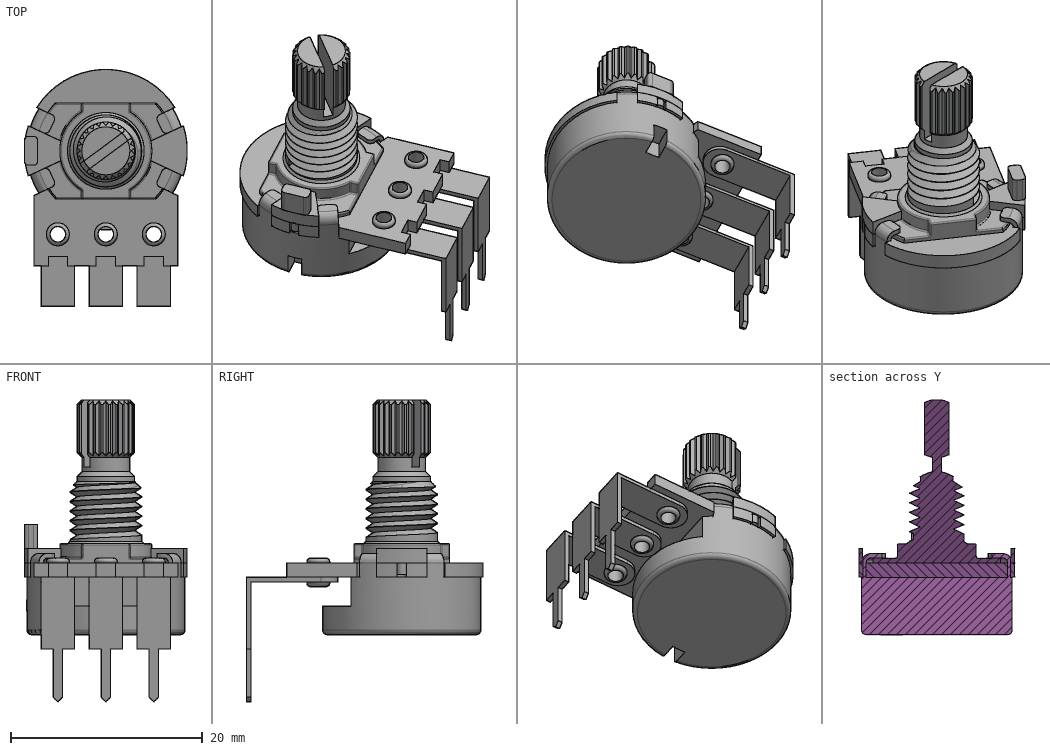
import cadquery as cq
import math


CAN_RADIUS = 8.25
CAN_HEIGHT = 6.0
CAN_FILLET = 0.5
CAN_FLAT_Y = -5.3
CAN_FLAT_HEIGHT = 3.0
CAN_NOTCH_WIDTH = 1.5
CAN_NOTCH_HEIGHT = 2.5
CAN_NOTCH_DEPTH = 2.0

TAB_ANGLE = 25.0
TAB_WIDTH = 2.1
TAB_THICKNESS = 0.5
TAB_BEND_RADIUS = 1.0
TAB_TIP_RADIUS = 6.2
TAB_CORNER_RADIUS = 0.5

WAFER_RADIUS = 8.5
WAFER_THICKNESS = 1.5
WAFER_WIDTH = 15.0
WAFER_FRONT_Y = -12.0
WAFER_NOTCH_WIDTH = 2.0
WAFER_NOTCH_DEPTH = 1.0

PLATE_THICKNESS = 0.5
PLATE_HALF_DEPTH = 5.0
PLATE_HALF_WIDTH = 5.3
PLATE_SHOULDER = (6.2, 3.95)
PLATE_WAIST = (6.8, 2.0)
PLATE_FILLET = 0.15
HUB_RADIUS = 4.8
HUB_BAR_WIDTH = 5.0
HUB_TOP = 3.5
EAR_INNER_X = 4.0
EAR_TOP = 3.0
KEY_TOP = 5.5
KEY_WIDTH = 3.0
KEY_LENGTH = 1.4
KEY_CORNER_RADIUS = 0.42

PEG_DIAMETER = 1.0
PEG_LENGTH = 1.2
PEG_DISTANCE = 7.9

BUSHING_FOOT_RADIUS = 4.0
THREAD_RADIUS = 3.75
THREAD_ROOT_RADIUS = 3.02
THREAD_PITCH = 1.0
THREAD_CREST = 0.05
THREAD_START_ANGLE = 135.0
THREAD_START_Z = 4.25
THREAD_TURNS = 5.75
COLLAR_RADIUS = 3.0
COLLAR_BOTTOM = 10.0
COLLAR_TOP = 10.5
NECK_RADIUS = 2.5
KNOB_RADIUS = 3.0
KNOB_BOTTOM = 12.5
KNOB_TOP = 18.5
KNURL_COUNT = 24
KNURL_ROOT_RADIUS = 2.65
KNURL_LAND = 0.17
SLOT_WIDTH = 1.0
SLOT_BOTTOM = 11.5
SLOT_ANGLE = 36.5
TOOL_OVERCUT = 0.1

PITCH = 5.0
RIVET_Y = -8.7
RIVET_DIAMETER = 2.4
RIVET_BORE = 1.6
RIVET_HEAD = 0.5
TERMINAL_THICKNESS = 0.5
TERMINAL_WIDTH = 3.5
TERMINAL_ROUND_Y = -8.4
TERMINAL_OUTER_Y = -16.2
TERMINAL_SHOULDER_Z = -7.5
PIN_WIDTH = 1.0
PIN_TIP_Z = -13.0

PLATE_TOP = WAFER_THICKNESS + PLATE_THICKNESS
TAB_TOP = PLATE_TOP + TAB_THICKNESS
TAB_INNER_RADIUS = CAN_RADIUS - TAB_THICKNESS
POSITIONS_X = [i * PITCH for i in (-1, 0, 1)]
TAB_ANGLES = [TAB_ANGLE, 180 - TAB_ANGLE, 180 + TAB_ANGLE, -TAB_ANGLE]


def cylinder(radius, bottom, top):
    return cq.Workplane("XY").workplane(offset=bottom).circle(radius).extrude(top - bottom)


def block(x0, x1, y0, y1, z0, z1):
    return cq.Workplane("XY").box(x1 - x0, y1 - y0, z1 - z0, centered=False).translate((x0, y0, z0))


def make_tab(angle):
    """Tab that rises along the can wall and folds inwards over the mounting plate."""
    bend_x = CAN_RADIUS - TAB_BEND_RADIUS
    bend_z = TAB_TOP - TAB_BEND_RADIUS
    inner_bend_radius = TAB_BEND_RADIUS - TAB_THICKNESS
    diagonal = math.sqrt(0.5)
    profile = (
        cq.Workplane("XZ")
        .moveTo(TAB_INNER_RADIUS, -CAN_FILLET)
        .lineTo(CAN_RADIUS, -CAN_FILLET)
        .lineTo(CAN_RADIUS, bend_z)
        .threePointArc(
            (bend_x + TAB_BEND_RADIUS * diagonal, bend_z + TAB_BEND_RADIUS * diagonal),
            (bend_x, TAB_TOP),
        )
        .lineTo(TAB_TIP_RADIUS, TAB_TOP)
        .lineTo(TAB_TIP_RADIUS, PLATE_TOP)
        .lineTo(bend_x, PLATE_TOP)
        .threePointArc(
            (bend_x + inner_bend_radius * diagonal, bend_z + inner_bend_radius * diagonal),
            (TAB_INNER_RADIUS, bend_z),
        )
        .close()
    )
    ring = profile.revolve(360, (0, 0, 0), (0, 1, 0))
    half = TAB_WIDTH / 2
    outline = block(TAB_TIP_RADIUS, 2 * CAN_RADIUS, -half, half, -CAN_FILLET, TAB_TOP)
    outline = outline.edges("|Z and <X").fillet(TAB_CORNER_RADIUS)
    return ring.intersect(outline.rotate((0, 0, 0), (0, 0, 1), angle))


def make_can():
    can = cylinder(CAN_RADIUS, -CAN_HEIGHT, 0).faces("<Z").edges().fillet(CAN_FILLET)
    can = can.cut(block(-CAN_RADIUS, CAN_RADIUS, -2 * CAN_RADIUS, CAN_FLAT_Y, -CAN_FLAT_HEIGHT, 0))
    half = CAN_NOTCH_WIDTH / 2
    floor_x = CAN_NOTCH_DEPTH - CAN_RADIUS
    can = can.cut(block(-CAN_RADIUS, floor_x, -half, half, -CAN_HEIGHT, CAN_NOTCH_HEIGHT - CAN_HEIGHT))
    for angle in TAB_ANGLES:
        can = can.union(make_tab(angle))
    return can


def make_wafer():
    half = WAFER_WIDTH / 2
    wafer = cylinder(WAFER_RADIUS, 0, WAFER_THICKNESS)
    side_y = -math.sqrt(WAFER_RADIUS**2 - half**2)
    wafer = wafer.union(block(-half, half, WAFER_FRONT_Y, side_y, 0, WAFER_THICKNESS))
    core = cylinder(TAB_INNER_RADIUS, 0, WAFER_THICKNESS)
    tab_half = TAB_WIDTH / 2
    tab_slot = block(0, 2 * WAFER_RADIUS, -tab_half, tab_half, 0, WAFER_THICKNESS)
    for angle in TAB_ANGLES:
        wafer = wafer.cut(tab_slot.rotate((0, 0, 0), (0, 0, 1), angle).cut(core))
    notch = WAFER_NOTCH_WIDTH / 2
    notch_y = WAFER_FRONT_Y + WAFER_NOTCH_DEPTH
    for x in POSITIONS_X:
        wafer = wafer.cut(block(x - notch, x + notch, WAFER_FRONT_Y, notch_y, 0, WAFER_THICKNESS))
        wafer = wafer.cut(cylinder(RIVET_DIAMETER / 2, 0, WAFER_THICKNESS).translate((x, RIVET_Y, 0)))
    peg_radius = PEG_DIAMETER / 2
    seat = cylinder(peg_radius, 0, WAFER_THICKNESS).translate((PEG_DISTANCE, 0, 0))
    seat = seat.union(block(PEG_DISTANCE, WAFER_RADIUS, -peg_radius, peg_radius, 0, WAFER_THICKNESS))
    return wafer.cut(seat).cut(seat.mirror("YZ"))


def make_ears():
    """Two wedges between the clamping tabs, on the left and right of the hub."""
    slope = math.tan(math.radians(TAB_ANGLE))
    offset = TAB_WIDTH / 2 / math.cos(math.radians(TAB_ANGLE))
    outer_x = 2 * WAFER_RADIUS
    inner_y = slope * EAR_INNER_X - offset
    outer_y = slope * outer_x - offset
    wedge = (
        cq.Workplane("XY")
        .workplane(offset=WAFER_THICKNESS)
        .polyline(
            [
                (EAR_INNER_X, -inner_y),
                (outer_x, -outer_y),
                (outer_x, outer_y),
                (EAR_INNER_X, inner_y),
            ]
        )
        .close()
        .extrude(EAR_TOP - WAFER_THICKNESS)
        .intersect(cylinder(WAFER_RADIUS, WAFER_THICKNESS, EAR_TOP))
    )
    return wedge, wedge.mirror("YZ")


def make_plate():
    """Stepped plate: a flat base, a raised hub with a cross bar, two ears, a key and two pegs."""
    right = [
        (PLATE_HALF_WIDTH, -PLATE_HALF_DEPTH),
        (PLATE_SHOULDER[0], -PLATE_SHOULDER[1]),
        (PLATE_WAIST[0], -PLATE_WAIST[1]),
        PLATE_WAIST,
        PLATE_SHOULDER,
        (PLATE_HALF_WIDTH, PLATE_HALF_DEPTH),
    ]
    left = [(-x, -y) for x, y in right]
    base = cq.Workplane("XY").workplane(offset=WAFER_THICKNESS).polyline(right + left).close()
    base = base.extrude(PLATE_THICKNESS)
    base = base.intersect(cylinder(CAN_RADIUS - TAB_BEND_RADIUS, WAFER_THICKNESS, PLATE_TOP))

    half = HUB_BAR_WIDTH / 2
    plate = base.union(cylinder(HUB_RADIUS, WAFER_THICKNESS, HUB_TOP))
    plate = plate.union(
        block(-half, half, -PLATE_HALF_DEPTH, PLATE_HALF_DEPTH, WAFER_THICKNESS, HUB_TOP)
    )
    reach = WAFER_RADIUS
    margin = PLATE_FILLET / 10
    above_base = cq.selectors.BoxSelector(
        (-reach, -reach, PLATE_TOP - margin), (reach, reach, HUB_TOP + margin), boundingbox=True
    )
    plate = plate.edges(above_base).fillet(PLATE_FILLET)
    for ear in make_ears():
        plate = plate.union(ear)

    half = KEY_WIDTH / 2
    key = block(-WAFER_RADIUS, KEY_LENGTH - WAFER_RADIUS, -half, half, EAR_TOP, KEY_TOP)
    key = key.edges("|Z").fillet(KEY_CORNER_RADIUS)
    plate = plate.union(key)
    peg = cylinder(PEG_DIAMETER / 2, WAFER_THICKNESS - PEG_LENGTH, PLATE_TOP)
    for x in (-PEG_DISTANCE, PEG_DISTANCE):
        plate = plate.union(peg.translate((x, 0, 0)))
    return plate


def make_thread_groove():
    half = (THREAD_PITCH - THREAD_CREST) / 2
    outer = THREAD_RADIUS + TOOL_OVERCUT
    profile = (
        cq.Workplane("XZ")
        .polyline(
            [
                (THREAD_ROOT_RADIUS, 0),
                (THREAD_RADIUS, -half),
                (outer, -half),
                (outer, half),
                (THREAD_RADIUS, half),
            ]
        )
        .close()
    )
    path = cq.Wire.makeHelix(THREAD_PITCH, THREAD_PITCH * THREAD_TURNS, THREAD_RADIUS)
    groove = profile.sweep(cq.Workplane(obj=path), isFrenet=True)
    groove = groove.rotate((0, 0, 0), (0, 0, 1), THREAD_START_ANGLE)
    return groove.translate((0, 0, THREAD_START_Z))


def make_knurl_groove():
    """V groove at the shaft's -Y side."""
    half = math.pi * KNOB_RADIUS / KNURL_COUNT - KNURL_LAND / 2
    outer = KNOB_RADIUS + TOOL_OVERCUT
    return (
        cq.Workplane("XY")
        .workplane(offset=KNOB_BOTTOM)
        .polyline(
            [
                (0, -KNURL_ROOT_RADIUS),
                (half, -KNOB_RADIUS),
                (half, -outer),
                (-half, -outer),
                (-half, -KNOB_RADIUS),
            ]
        )
        .close()
        .extrude(KNOB_TOP - KNOB_BOTTOM)
    )


def make_bushing_and_shaft():
    foot = BUSHING_FOOT_RADIUS - THREAD_RADIUS
    runout = THREAD_RADIUS - COLLAR_RADIUS
    nose = COLLAR_RADIUS - NECK_RADIUS
    bevel = KNOB_RADIUS - NECK_RADIUS
    body = (
        cq.Workplane("XZ")
        .polyline(
            [
                (0, PLATE_TOP),
                (BUSHING_FOOT_RADIUS, PLATE_TOP),
                (BUSHING_FOOT_RADIUS, HUB_TOP),
                (THREAD_RADIUS, HUB_TOP + foot),
                (THREAD_RADIUS, COLLAR_BOTTOM - runout),
                (COLLAR_RADIUS, COLLAR_BOTTOM),
                (COLLAR_RADIUS, COLLAR_TOP),
                (NECK_RADIUS, COLLAR_TOP + nose),
                (NECK_RADIUS, KNOB_BOTTOM),
                (KNOB_RADIUS, KNOB_BOTTOM + bevel),
                (KNOB_RADIUS, KNOB_TOP - bevel),
                (NECK_RADIUS, KNOB_TOP),
                (0, KNOB_TOP),
            ]
        )
        .close()
        .revolve(360, (0, 0, 0), (0, 1, 0))
    )
    body = body.cut(make_thread_groove())
    groove = make_knurl_groove()
    for i in range(KNURL_COUNT):
        body = body.cut(groove.rotate((0, 0, 0), (0, 0, 1), i * 360 / KNURL_COUNT))
    half = SLOT_WIDTH / 2
    slot = block(-2 * KNOB_RADIUS, 2 * KNOB_RADIUS, -half, half, SLOT_BOTTOM, KNOB_TOP)
    return body.cut(slot.rotate((0, 0, 0), (0, 0, 1), SLOT_ANGLE))


def make_rivet(x):
    """Hollow rivet whose two heads are rounded across the full wall."""
    outer = RIVET_DIAMETER / 2
    inner = RIVET_BORE / 2
    top = WAFER_THICKNESS + RIVET_HEAD
    bottom = -TERMINAL_THICKNESS - RIVET_HEAD
    wall = outer - inner
    sweep = wall * math.sqrt(0.5)
    profile = (
        cq.Workplane("XZ")
        .moveTo(inner, bottom)
        .threePointArc((inner + sweep, bottom + wall - sweep), (outer, bottom + wall))
        .lineTo(outer, top - wall)
        .threePointArc((inner + sweep, top - wall + sweep), (inner, top))
        .close()
    )
    return profile.revolve(360, (0, 0, 0), (0, 1, 0)).translate((x, RIVET_Y, 0))


def make_terminal(x):
    half = TERMINAL_WIDTH / 2
    pin = PIN_WIDTH / 2
    leaf = block(-half, half, TERMINAL_OUTER_Y, TERMINAL_ROUND_Y, -TERMINAL_THICKNESS, 0)
    inner_end = cylinder(half, -TERMINAL_THICKNESS, 0).translate((0, TERMINAL_ROUND_Y, 0))
    leg = (
        cq.Workplane("XZ", origin=(0, TERMINAL_OUTER_Y, 0))
        .polyline(
            [
                (-half, 0),
                (half, 0),
                (half, TERMINAL_SHOULDER_Z),
                (pin, TERMINAL_SHOULDER_Z),
                (pin, PIN_TIP_Z + pin),
                (0, PIN_TIP_Z),
                (-pin, PIN_TIP_Z + pin),
                (-pin, TERMINAL_SHOULDER_Z),
                (-half, TERMINAL_SHOULDER_Z),
            ]
        )
        .close()
        .extrude(-TERMINAL_THICKNESS)
    )
    hole = cylinder(RIVET_DIAMETER / 2, -TERMINAL_THICKNESS, 0).translate((0, RIVET_Y, 0))
    return leaf.union(inner_end).union(leg).cut(hole).translate((x, 0, 0))


can = make_can()
wafer = make_wafer()
bushing = make_plate().union(make_bushing_and_shaft())
rivets = [make_rivet(x) for x in POSITIONS_X]
terminals = [make_terminal(x) for x in POSITIONS_X]

bodies = [can, wafer, bushing] + rivets + terminals
result = cq.Compound.makeCompound([body.solids().val() for body in bodies])